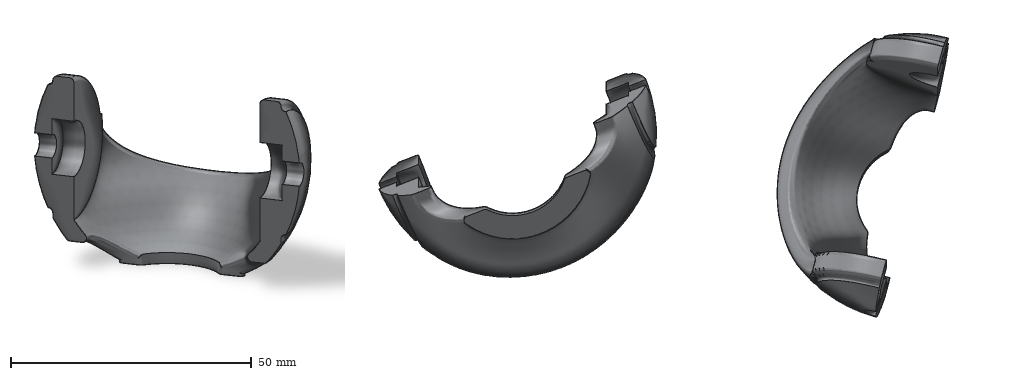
import cadquery as cq
import math

outer_radius = 30.0
inner_radius = 26.0
bottom_z = -25.7
bottom_hole_radius = 11.5
rim_fillet = 1.0

collar_radius = 16.5
collar_height = 1.7

cheek_inner_x = 21.0
cheek_outer_x = 25.8
cheek_radius = 15.3
bore_radius = 2.5
counterbore_radius = 6.0
counterbore_depth = 5.0

cap_radius = 13.3
cap_foot_fillet = 1.0

sweep_radius = 23.85
sweep_angle = math.radians(17.4)

notch_top_z = -20.0
notch_side_radius = 6.0
notch_flat_half_width = 1.3
notch_fillet = 1.0
selection_margin = 0.05

reach = 2 * outer_radius
sweep_distance = cheek_radius + sweep_radius

cavity_edge_radius = math.sqrt(inner_radius**2 - cheek_inner_x**2)
miter_turn = math.acos(
    (cavity_edge_radius**2 + sweep_distance**2 - sweep_radius**2)
    / (2 * cavity_edge_radius * sweep_distance)
)
miter_z = cavity_edge_radius * math.sin(sweep_angle - miter_turn)


def ball(radius):
    return cq.Workplane().sphere(radius)


def x_cylinder(radius, x_start, x_end, y=0, z=0):
    return cq.Workplane("YZ", origin=(x_start, y, z)).circle(radius).extrude(x_end - x_start)


def z_cylinder(radius, z_start, z_end):
    return cq.Workplane("XY", origin=(0, 0, z_start)).circle(radius).extrude(z_end - z_start)


def block(x_start, x_end, y_start, y_end, z_start, z_end):
    size = (x_end - x_start, y_end - y_start, z_end - z_start)
    return cq.Workplane().box(*size, centered=False).translate((x_start, y_start, z_start))


def rounded_shell():
    """Hollow ball with the concave sweep taken out of its rear and both rim edges rounded."""
    sweep_y = sweep_distance * math.cos(sweep_angle)
    sweep_z = sweep_distance * math.sin(sweep_angle)
    sweep = x_cylinder(sweep_radius, -reach, reach, sweep_y, sweep_z)
    shell = ball(outer_radius).cut(ball(inner_radius)).cut(sweep)
    return shell.faces("%CYLINDER").edges().fillet(rim_fillet)


def cheek_step():
    """Free space around the domed cap, beyond the outer flat of the cheek."""
    ring = cq.Workplane("YZ", origin=(cheek_outer_x, 0, 0)).circle(reach).circle(cap_radius)
    return ring.extrude(reach)


def collar():
    blank = z_cylinder(collar_radius, bottom_z, bottom_z + collar_height)
    return blank.cut(z_cylinder(bottom_hole_radius, bottom_z, bottom_z + collar_height))


def on_both_sides(shape):
    return shape, shape.mirror("YZ")


def lower_shell():
    """Shell below the miter, backed by solid discs behind the cheeks' inner flats."""
    shell = rounded_shell()
    for backing in on_both_sides(x_cylinder(cheek_radius, cheek_inner_x, cheek_outer_x)):
        shell = shell.union(backing)
    for step in on_both_sides(cheek_step()):
        shell = shell.cut(step)
    shell = shell.union(collar())
    return shell.intersect(block(-reach, reach, 0, reach, bottom_z, miter_z))


def cheek():
    """Cheek disc with rounded edges and its domed cap, turned about the X axis."""
    diagonal = rim_fillet * math.sqrt(0.5)
    foot_diagonal = cap_foot_fillet * math.sqrt(0.5)
    flat_radius = cheek_radius - rim_fillet
    inner_x = cheek_inner_x + rim_fillet
    outer_x = cheek_outer_x - rim_fillet
    foot_x = cheek_outer_x + cap_foot_fillet
    foot_radius = cap_radius + cap_foot_fillet
    cap_edge_x = math.sqrt(outer_radius**2 - cap_radius**2)
    dome_angle = math.asin(cap_radius / outer_radius) / 2
    dome_mid = (outer_radius * math.cos(dome_angle), outer_radius * math.sin(dome_angle))
    return (
        cq.Workplane("XY")
        .moveTo(cheek_inner_x, 0)
        .lineTo(cheek_inner_x, flat_radius)
        .threePointArc((inner_x - diagonal, flat_radius + diagonal), (inner_x, cheek_radius))
        .lineTo(outer_x, cheek_radius)
        .threePointArc((outer_x + diagonal, flat_radius + diagonal), (cheek_outer_x, flat_radius))
        .threePointArc((foot_x - foot_diagonal, foot_radius - foot_diagonal), (foot_x, cap_radius))
        .lineTo(cap_edge_x, cap_radius)
        .threePointArc(dome_mid, (outer_radius, 0))
        .close()
        .revolve(360, (0, 0, 0), (1, 0, 0))
    )


def with_notches(shell):
    """Cut both notches and round their edges, except along the bottom and the Y = 0 face."""
    half_width = notch_flat_half_width + notch_side_radius
    centre_z = notch_top_z - notch_side_radius
    start = cq.Workplane("YZ", origin=(-reach, 0, centre_z))
    notched = shell.cut(start.slot2D(2 * half_width, 2 * notch_side_radius).extrude(2 * reach))
    around_notch = cq.selectors.BoxSelector(
        (-reach, -selection_margin, bottom_z - selection_margin),
        (reach, half_width + selection_margin, notch_top_z + selection_margin),
        boundingbox=True,
    )
    return notched.edges(around_notch).edges("not |X").fillet(notch_fillet)


def bores():
    bore = x_cylinder(bore_radius, cheek_inner_x, reach)
    return bore.union(x_cylinder(counterbore_radius, cheek_inner_x, cheek_inner_x + counterbore_depth))


rear_half = block(-reach, reach, 0, reach, -reach, reach)
body = lower_shell()
for side in on_both_sides(cheek().intersect(rear_half)):
    body = body.union(side)
body = body.cut(z_cylinder(bottom_hole_radius, -reach, 0))
for hole in on_both_sides(bores()):
    body = body.cut(hole)
result = with_notches(body)